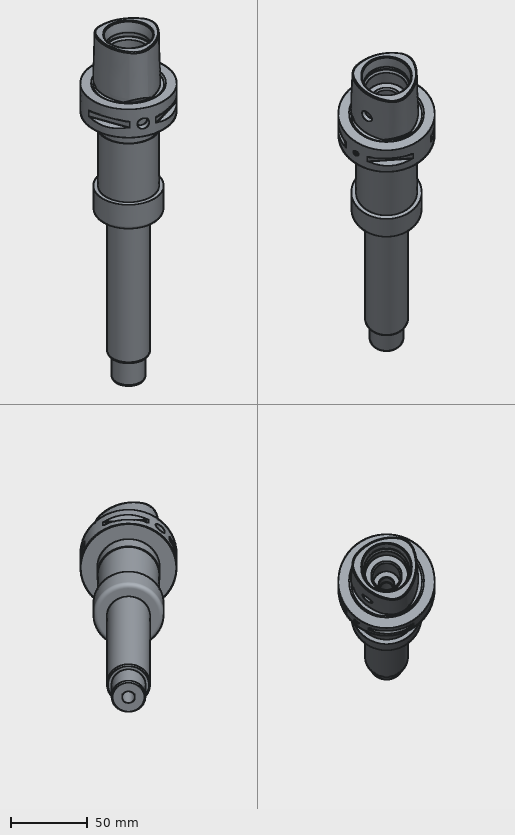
import cadquery as cq
import math

OVERALL_LENGTH = 267.7

SHANK_TOP = 38.0
FLANGE_BOTTOM = -22.4
NECK_RING_BOTTOM = -34.0
COLLAR_TOP = -80.0
COLLAR_BOTTOM = -100.0
STEM_BOTTOM = -210.0
PIN_BOTTOM = SHANK_TOP - OVERALL_LENGTH

FLANGE_DIA = 63.0
NECK_RING_DIA = 41.0
NECK_DIA = 40.0
COLLAR_DIA = 46.0
STEM_DIA = 28.3
PIN_DIA = 22.3

FLANGE_CHAMFER = 0.4
COLLAR_FILLET = 3.0
STEM_CHAMFER_RADIAL = 0.8
STEM_CHAMFER_HEIGHT = 1.5
PIN_CHAMFER_RADIAL = 0.8
PIN_CHAMFER_HEIGHT = 1.5

SHANK_WIDTH = 44.0
SHANK_ECCENTRICITY = 1.4
SHANK_FLAT_RADIUS = SHANK_WIDTH / 2 - SHANK_ECCENTRICITY
LOBE_ANGLES = (0, 120, 240)
LOBE_SPACING = 120
LOBE_HALF_ARC = 30
SHANK_TAPER = math.degrees(math.atan(1 / 40))
SHANK_TOP_CHAMFER = 0.75
SHANK_FOOT_HEIGHT = 2.3
SHANK_FOOT_TOP_RADIUS = SHANK_WIDTH / 2 + SHANK_ECCENTRICITY
SHANK_FOOT_SLOPE = 0.5

RECESS_TOP_DIA = 49.0
RECESS_FLOOR_DIA = 46.4
RECESS_DEPTH = 1.0

MOUTH_DIA = 33.3
MOUTH_CHAMFER = 0.8
ENTRY_DIA = 32.0
ENTRY_DEPTH = 7.2
LIP_DIA = 29.5
LIP_DEPTH = 8.4
GROOVE_DIA = 32.0
GROOVE_DEPTH = 12.0
SEAT_DIA = 30.5
SEAT_CONE_DEPTH = 13.6
BORE_DIA = 28.0
BORE_DEPTH = 24.0
THREAD_MOUTH_DIA = 20.2
THREAD_DIA = 17.84
THREAD_DEPTH = 48.0
COOLANT_MOUTH_DIA = 10.5
COUNTERBORE_DIA = 9.6
COUNTERBORE_DEPTH = 60.0
COOLANT_DIA = 8.35

SLOT_Z = -12.0
SLOT_ANGLES = (45, 135, 225, 315)
SLOT_FLOOR_RADIUS = 27.7
SLOT_FLARE_RADIUS = 28.2
SLOT_HEIGHT = 4.4
SLOT_MOUTH_HEIGHT = 7.7

SHANK_DIMPLE_DIA = 8.38
SHANK_DIMPLE_Z = 15.5
SHANK_DIMPLE_DEPTH = 3.5
FLANGE_DIMPLE_DIA = 4.0
FLANGE_DIMPLE_DEPTH = 0.8
DIMPLE_HALF_ANGLE = 59.0

CHIP_HOLE_DIA = 8.1
CHIP_HOLE_DEPTH = 4.5


def revolve_about_z(profile):
    """Revolve a closed (radius, height) sketch about the Z axis."""
    return profile.close().revolve(360, (0, 0, 0), (0, 1, 0))


def make_turned_body():
    """Flange, neck, collar, stem and pin as one revolved outline."""
    flange_r = FLANGE_DIA / 2
    collar_r = COLLAR_DIA / 2
    stem_r = STEM_DIA / 2
    pin_r = PIN_DIA / 2
    fillet_reach = COLLAR_FILLET * math.sqrt(0.5)
    fillet_middle = (
        collar_r - COLLAR_FILLET + fillet_reach,
        COLLAR_BOTTOM + COLLAR_FILLET - fillet_reach,
    )
    outline = (
        cq.Workplane("XZ")
        .moveTo(0, 0)
        .lineTo(flange_r, 0)
        .lineTo(flange_r, FLANGE_BOTTOM + FLANGE_CHAMFER)
        .lineTo(flange_r - FLANGE_CHAMFER, FLANGE_BOTTOM)
        .lineTo(NECK_RING_DIA / 2, FLANGE_BOTTOM)
        .lineTo(NECK_RING_DIA / 2, NECK_RING_BOTTOM)
        .lineTo(NECK_DIA / 2, NECK_RING_BOTTOM)
        .lineTo(NECK_DIA / 2, COLLAR_TOP)
        .lineTo(collar_r, COLLAR_TOP)
        .lineTo(collar_r, COLLAR_BOTTOM + COLLAR_FILLET)
        .threePointArc(fillet_middle, (collar_r - COLLAR_FILLET, COLLAR_BOTTOM))
        .lineTo(stem_r, COLLAR_BOTTOM)
        .lineTo(stem_r, STEM_BOTTOM + STEM_CHAMFER_HEIGHT)
        .lineTo(stem_r - STEM_CHAMFER_RADIAL, STEM_BOTTOM)
        .lineTo(pin_r, STEM_BOTTOM)
        .lineTo(pin_r, PIN_BOTTOM + PIN_CHAMFER_HEIGHT)
        .lineTo(pin_r - PIN_CHAMFER_RADIAL, PIN_BOTTOM)
        .lineTo(0, PIN_BOTTOM)
    )
    return revolve_about_z(outline)


def lobed_outline(z):
    """Closed three-lobed outline: small arcs on the lobes, large arcs between them."""
    height_ratio = math.cos(math.radians(LOBE_HALF_ARC))
    lobe_offset = SHANK_ECCENTRICITY / (1 - height_ratio)
    lobe_radius = SHANK_WIDTH / 2 - lobe_offset * height_ratio

    def lobe_point(lobe_angle, normal_angle):
        lobe = math.radians(lobe_angle)
        normal = math.radians(normal_angle)
        return (
            lobe_offset * math.cos(lobe) + lobe_radius * math.cos(normal),
            lobe_offset * math.sin(lobe) + lobe_radius * math.sin(normal),
        )

    first_lobe = LOBE_ANGLES[0]
    start = lobe_point(first_lobe, first_lobe - LOBE_HALF_ARC)
    outline = cq.Workplane("XY", origin=(0, 0, z)).moveTo(*start)
    for lobe_angle in LOBE_ANGLES:
        lobe_tip = lobe_point(lobe_angle, lobe_angle)
        lobe_end = lobe_point(lobe_angle, lobe_angle + LOBE_HALF_ARC)
        flat = math.radians(lobe_angle + LOBE_SPACING / 2)
        flat_middle = (SHANK_FLAT_RADIUS * math.cos(flat), SHANK_FLAT_RADIUS * math.sin(flat))
        next_lobe = lobe_angle + LOBE_SPACING
        flat_end = lobe_point(next_lobe, next_lobe - LOBE_HALF_ARC)
        outline = outline.threePointArc(lobe_tip, lobe_end).threePointArc(flat_middle, flat_end)
    return outline.close()


def make_shank():
    """Tapered shank on a straight foot whose lobes are trimmed by a cone."""
    shank = lobed_outline(SHANK_FOOT_HEIGHT).extrude(
        SHANK_TOP - SHANK_FOOT_HEIGHT, taper=SHANK_TAPER
    )
    shank = shank.faces(">Z").edges().chamfer(SHANK_TOP_CHAMFER)
    foot_height = SHANK_FOOT_HEIGHT + RECESS_DEPTH
    foot = lobed_outline(-RECESS_DEPTH).extrude(foot_height)
    foot_bottom_radius = SHANK_FOOT_TOP_RADIUS - SHANK_FOOT_SLOPE * foot_height
    cone = revolve_about_z(
        cq.Workplane("XZ")
        .moveTo(0, -RECESS_DEPTH)
        .lineTo(foot_bottom_radius, -RECESS_DEPTH)
        .lineTo(SHANK_FOOT_TOP_RADIUS, SHANK_FOOT_HEIGHT)
        .lineTo(0, SHANK_FOOT_HEIGHT)
    )
    return shank.union(foot.intersect(cone))


def make_face_recess():
    """Shallow recess with a conical wall in the flange face."""
    return revolve_about_z(
        cq.Workplane("XZ")
        .moveTo(0, -RECESS_DEPTH)
        .lineTo(RECESS_FLOOR_DIA / 2, -RECESS_DEPTH)
        .lineTo(RECESS_TOP_DIA / 2, 0)
        .lineTo(0, 0)
    )


def make_bore():
    """Stepped bore with a clamping groove, running through the whole part."""
    thread_chamfer = (THREAD_MOUTH_DIA - THREAD_DIA) / 2
    coolant_chamfer = (COOLANT_MOUTH_DIA - COUNTERBORE_DIA) / 2
    steps = (
        (MOUTH_DIA, 0),
        (ENTRY_DIA, MOUTH_CHAMFER),
        (LIP_DIA, ENTRY_DEPTH),
        (LIP_DIA, LIP_DEPTH),
        (GROOVE_DIA, LIP_DEPTH),
        (GROOVE_DIA, GROOVE_DEPTH),
        (SEAT_DIA, GROOVE_DEPTH),
        (BORE_DIA, SEAT_CONE_DEPTH),
        (BORE_DIA, BORE_DEPTH),
        (THREAD_MOUTH_DIA, BORE_DEPTH),
        (THREAD_DIA, BORE_DEPTH + thread_chamfer),
        (THREAD_DIA, THREAD_DEPTH),
        (COOLANT_MOUTH_DIA, THREAD_DEPTH),
        (COUNTERBORE_DIA, THREAD_DEPTH + coolant_chamfer),
        (COUNTERBORE_DIA, COUNTERBORE_DEPTH),
        (COOLANT_DIA, COUNTERBORE_DEPTH),
    )
    outline = cq.Workplane("XZ").moveTo(0, SHANK_TOP)
    for diameter, depth in steps:
        outline = outline.lineTo(diameter / 2, SHANK_TOP - depth)
    outline = outline.lineTo(COOLANT_DIA / 2, PIN_BOTTOM).lineTo(0, PIN_BOTTOM)
    return revolve_about_z(outline)


def make_gripper_slot(angle):
    """Straight slot with a flared mouth, cut along a chord of the flange."""
    rim = FLANGE_DIA / 2
    half_height = SLOT_HEIGHT / 2
    half_mouth = SLOT_MOUTH_HEIGHT / 2
    return (
        cq.Workplane("XZ")
        .moveTo(SLOT_FLOOR_RADIUS, SLOT_Z - half_height)
        .lineTo(SLOT_FLARE_RADIUS, SLOT_Z - half_height)
        .lineTo(rim, SLOT_Z - half_mouth)
        .lineTo(rim, SLOT_Z + half_mouth)
        .lineTo(SLOT_FLARE_RADIUS, SLOT_Z + half_height)
        .lineTo(SLOT_FLOOR_RADIUS, SLOT_Z + half_height)
        .close()
        .extrude(rim, both=True)
        .rotate((0, 0, 0), (0, 0, 1), angle)
    )


def make_dimple(diameter, depth, surface_radius, z):
    """Drill-pointed blind hole entering from -X, with its full diameter to the given depth."""
    radius = diameter / 2
    tip = depth + radius / math.tan(math.radians(DIMPLE_HALF_ANGLE))
    clearance = radius
    return (
        cq.Workplane("XY", origin=(-surface_radius, 0, z))
        .moveTo(-clearance, 0)
        .lineTo(-clearance, radius)
        .lineTo(depth, radius)
        .lineTo(tip, 0)
        .close()
        .revolve(360, (0, 0, 0), (1, 0, 0))
    )


def make_chip_hole():
    """Radial hole entering the flange rim from +X."""
    rim = FLANGE_DIA / 2
    return (
        cq.Workplane("YZ", origin=(rim - CHIP_HOLE_DEPTH, 0, SLOT_Z))
        .circle(CHIP_HOLE_DIA / 2)
        .extrude(CHIP_HOLE_DEPTH)
    )


body = make_turned_body().cut(make_face_recess()).union(make_shank())
body = body.cut(make_bore())
for slot_angle in SLOT_ANGLES:
    body = body.cut(make_gripper_slot(slot_angle))

body = body.cut(
    make_dimple(SHANK_DIMPLE_DIA, SHANK_DIMPLE_DEPTH, SHANK_FLAT_RADIUS, SHANK_DIMPLE_Z)
)
body = body.cut(make_dimple(FLANGE_DIMPLE_DIA, FLANGE_DIMPLE_DEPTH, FLANGE_DIA / 2, SLOT_Z))
body = body.cut(make_chip_hole())

result = body